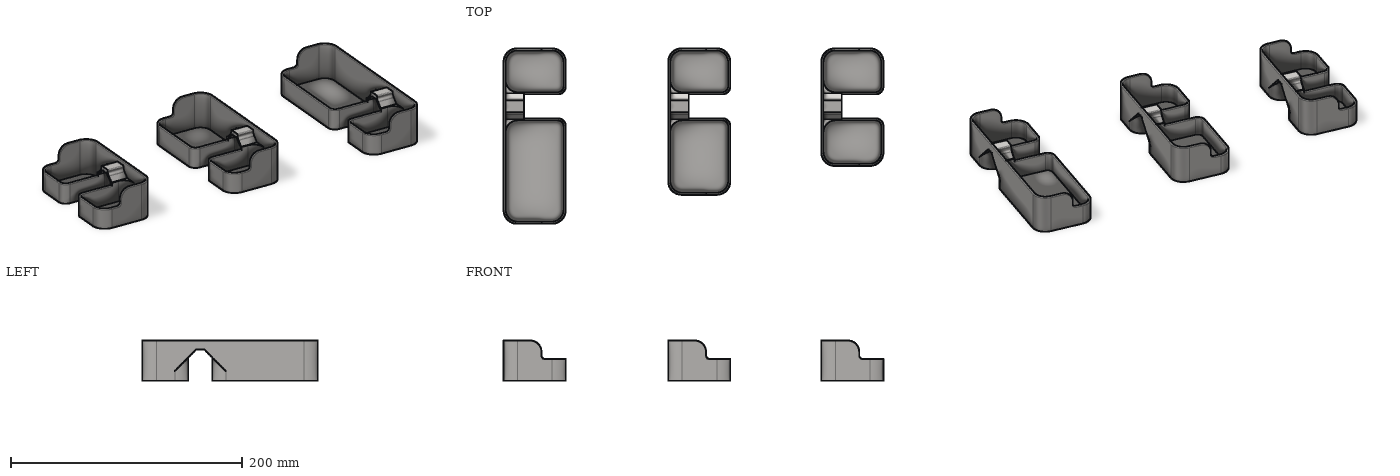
import cadquery as cq
import math

TOLERANCE = 0.001

WIDTH = 54.0
HEIGHT = 35.0
WALL = 2.0
FLOOR = 2.0
CORNER_RADIUS = 12.0
GAP_CORNER_RADIUS = 7.0

POCKET_LENGTH = 40.0
GAP_LENGTH = 20.5
GAP_HALF = GAP_LENGTH / 2
TRAY_LENGTHS = (152.0, 127.0, 102.0)
TRAY_LEFT_EDGES = (0.0, 142.4, 274.88)

RIM_HEIGHT = 19.0
STEP_X = 33.0
STEP_TOP_RADIUS = 10.0
STEP_FOOT_RADIUS = 3.0
RIM_ROUND = 0.5

BRIDGE_WIDTH = 18.0
ARCH_TOP = 27.0
ARCH_FLAT_HALF = 3.5
SPRING_HALF = GAP_HALF + CORNER_RADIUS
SPRING_Z = ARCH_TOP - (SPRING_HALF - ARCH_FLAT_HALF)
DECK_TOP = 31.0
DECK_HALF = 5.25
DECK_ROUND = 1.0
SHOULDER_RADIUS = 5.0
SHELF_Z = 21.5
SHELF_HALF = GAP_HALF + WALL / 2


def pocket_block(y_front, y_back, gap_side, inset, z_bottom):
    """Upright block with rounded corners, shrunk by inset; the gap is on its ">Y" or "<Y" side."""
    far_side = "<Y" if gap_side == ">Y" else ">Y"
    length = y_back - y_front
    block = (
        cq.Workplane("XY", origin=(inset, y_front + inset, z_bottom))
        .box(WIDTH - 2 * inset, length - 2 * inset, HEIGHT - z_bottom, centered=False)
    )
    block = block.edges(f"(|Z) and ((<X) or ({far_side}))").fillet(CORNER_RADIUS - inset)
    return block.edges(f"(|Z) and (>X) and ({gap_side})").fillet(GAP_CORNER_RADIUS - inset)


def bridge_block(y_middle):
    """Full-height block over the gap with the 45 degree arch below it."""
    return (
        cq.Workplane("YZ", origin=(0, y_middle, 0))
        .moveTo(-SPRING_HALF, HEIGHT)
        .lineTo(-SPRING_HALF, SPRING_Z)
        .lineTo(-ARCH_FLAT_HALF, ARCH_TOP)
        .lineTo(ARCH_FLAT_HALF, ARCH_TOP)
        .lineTo(SPRING_HALF, SPRING_Z)
        .lineTo(SPRING_HALF, HEIGHT)
        .close()
        .extrude(BRIDGE_WIDTH)
    )


def deck_clearance(y_middle):
    """Space above the bridge deck and its sloping shoulders, inside the left wall."""
    hollow_foot_half = DECK_HALF + SHOULDER_RADIUS * (1 - math.cos(math.pi / 4))
    hollow_foot_z = SHELF_Z + SHELF_HALF - hollow_foot_half
    hollow_top_z = hollow_foot_z + SHOULDER_RADIUS * math.sin(math.pi / 4)
    half_space = (
        cq.Workplane("YZ", origin=(WALL, y_middle, 0))
        .moveTo(0, HEIGHT)
        .lineTo(SPRING_HALF, HEIGHT)
        .lineTo(SPRING_HALF, SHELF_Z)
        .lineTo(SHELF_HALF, SHELF_Z)
        .lineTo(hollow_foot_half, hollow_foot_z)
        .radiusArc((DECK_HALF, hollow_top_z), SHOULDER_RADIUS)
        .lineTo(DECK_HALF, DECK_TOP - DECK_ROUND)
        .radiusArc((DECK_HALF - DECK_ROUND, DECK_TOP), -DECK_ROUND)
        .lineTo(0, DECK_TOP)
        .close()
        .extrude(BRIDGE_WIDTH - WALL)
    )
    return half_space.union(half_space.mirror("XZ", (0, y_middle, 0)))


def gap_wall_clearance(y_middle):
    """Space above the low gap walls beside the bridge."""
    return (
        cq.Workplane("XY", origin=(BRIDGE_WIDTH, y_middle - SPRING_HALF, RIM_HEIGHT))
        .box(WIDTH - BRIDGE_WIDTH, 2 * SPRING_HALF, HEIGHT - RIM_HEIGHT, centered=False)
    )


def step_clearance(length):
    """Space above the S-shaped step and the low rim, along the whole tray."""
    return (
        cq.Workplane("XZ")
        .moveTo(STEP_X - STEP_TOP_RADIUS, HEIGHT)
        .radiusArc((STEP_X, HEIGHT - STEP_TOP_RADIUS), STEP_TOP_RADIUS)
        .lineTo(STEP_X, RIM_HEIGHT + STEP_FOOT_RADIUS)
        .radiusArc((STEP_X + STEP_FOOT_RADIUS, RIM_HEIGHT), -STEP_FOOT_RADIUS)
        .lineTo(WIDTH, RIM_HEIGHT)
        .lineTo(WIDTH, HEIGHT)
        .close()
        .extrude(length)
    )


def is_rim(face):
    """True for the upper faces of the walls, including the step between their two heights."""
    box = face.BoundingBox()
    flat = box.zlen < TOLERANCE
    at_rim_height = min(abs(box.zmin - RIM_HEIGHT), abs(box.zmin - HEIGHT)) < TOLERANCE
    above_low_rim = box.zmin > RIM_HEIGHT - TOLERANCE
    right_of_step_start = box.xmin > STEP_X - STEP_TOP_RADIUS - TOLERANCE
    wall_wide = box.ylen < WALL + TOLERANCE
    return (flat and at_rim_height) or (above_low_rim and right_of_step_start and wall_wide)


def round_rim(body):
    """Round both upper edges of every wall; edges between two rim faces run across it and stay."""
    rim_edges = [edge for face in body.faces().vals() if is_rim(face) for edge in face.Edges()]
    wall_edges = []
    for edge in rim_edges:
        across_rim = sum(edge.isSame(other) for other in rim_edges) > 1
        against_bridge = abs(edge.Center().x - BRIDGE_WIDTH) < TOLERANCE
        if not across_rim and not against_bridge:
            wall_edges.append(edge)
    return body.newObject(wall_edges).fillet(RIM_ROUND)


def tray(length):
    """One two-pocket tray with its rear face at Y = 0 and its left face at X = 0."""
    y_gap_back = -POCKET_LENGTH
    y_gap_front = y_gap_back - GAP_LENGTH
    y_middle = (y_gap_back + y_gap_front) / 2
    pockets = ((y_gap_back, 0.0, "<Y"), (-length, y_gap_front, ">Y"))

    body = bridge_block(y_middle)
    for y_front, y_back, gap_side in pockets:
        body = body.union(pocket_block(y_front, y_back, gap_side, 0.0, 0.0))
    for y_front, y_back, gap_side in pockets:
        body = body.cut(pocket_block(y_front, y_back, gap_side, WALL, FLOOR))
    body = body.cut(deck_clearance(y_middle))
    body = body.cut(gap_wall_clearance(y_middle))
    body = body.cut(step_clearance(length))
    return round_rim(body)


trays = [
    tray(length).translate((left_edge, 0, 0))
    for length, left_edge in zip(TRAY_LENGTHS, TRAY_LEFT_EDGES)
]

result = cq.Compound.makeCompound([body.val() for body in trays])